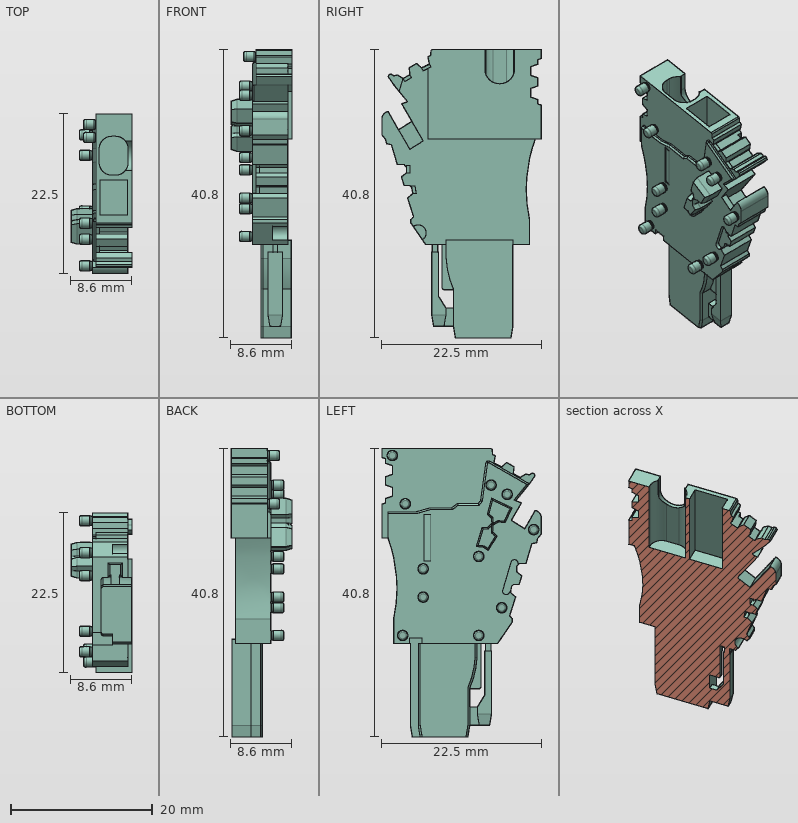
import cadquery as cq
import math


lower_face = 0.0
upper_face = 0.5
housing_back = 5.0
flange_back = 5.6

housing_top = 27.55
flange_bottom = 14.9
flange_front = -16.04
edge_bevel = 0.25

rear_tooth_depth = 0.5
rear_groove_depth = 1.5
rear_groove_half_mouth = 1.05
rear_groove_half_floor = 0.6
rear_groove_heights = (24.5, 21.43)
rear_recess_top = 26.1
rear_recess_bottom = 19.85
rear_recess_bevel = 0.15

wire_hole_x = (0.95, 5.05)
wire_hole_y = (-8.65, -3.15)
wire_hole_round = 1.8
wire_hole_depth = 12.0
side_gap_y = (-8.0, -3.8)
side_gap_straight_depth = 2.75
gap_overlap = 0.3
test_hole_x = (1.1, 4.95)
test_hole_y = (-14.3, -9.35)
test_hole_depth = 12.0

capsule_top = (-18.72, 11.35)
capsule_bottom = (-17.56, 7.4)
capsule_radius = 0.5
ramp_slot_y = (-6.9, -5.96)
ramp_slot_z = (11.65, 18.2)
ramp_slot_depth = 0.2
latch_lip = 0.85
latch_undercut = 3.2
groove_lip = 1.0
groove_undercut = 0.5
rear_notch_y = (-5.65, -3.9)
rear_notch_height = 0.77
latch_scoop_x = 2.8
latch_scoop_center = (-17.4, 1.65)
latch_scoop_radius = 1.13

pin_base_radius = 0.64
pin_radius = 0.73
pin_tip_radius = 0.48
pin_neck_length = 0.18
pin_shoulder = 0.38
pin_tip_start = 1.45
pin_length = 1.85
pin_tip_round = (-1.74, 0.66)
lower_pins = [
    (-15.43, 22.37),
    (-17.7, 21.06),
    (-21.44, 16.09),
    (-13.69, 12.3),
    (-5.84, 10.55),
    (-5.84, 6.56),
    (-16.93, 5.06),
    (-13.69, 1.15),
    (-2.95, 1.15),
]
upper_pins = [(-1.49, 26.55), (-3.32, 19.73)]
upper_pin_base = 0.6

block_height = 3.0
block_taper_height = 0.83
block_taper_inset = 0.2

plug_x = (1.2, 5.5)
plug_rear_face = 2.8
plug_bevel = 0.28
plug_rear = -4.03
plug_front = -12.43
plug_bottom = -13.2
plug_taper_start = -11.55
plug_taper = 0.27
plug_root = 0.65
plug_throat = -13.45
plug_curve_start = -1.95
plug_curve_middle = (-13.1, -4.3)
plug_curve_end = -6.28
raised_rear = -5.15

contact_x = (2.2, 4.25)
contact_front = -15.5
contact_rear = -14.5
contact_foot_rear = -13.49
contact_top = -1.05
contact_taper_start = -9.94
contact_bottom = -11.55
contact_taper = 0.27
contact_bend = (-7.3, -8.93)
bridge_x = (2.6, 3.8)
neck_x = (2.9, 3.55)
neck_y = (-15.45, -14.61)
stop_front = -14.04
stop_bottom = -6.4
stop_bevel = 0.25


def side_plate(points, x_start, x_end):
    """Extrude a closed Y-Z outline along X."""
    plate = cq.Workplane("YZ").workplane(offset=x_start).polyline(points).close()
    return plate.extrude(x_end - x_start)


def box_between(x_range, y_range, z_range):
    size = [high - low for low, high in (x_range, y_range, z_range)]
    corner = (x_range[0], y_range[0], z_range[0])
    return cq.Workplane("XY").box(*size, centered=False).translate(corner)


def make_upper_housing():
    outline = [
        (0, flange_bottom),
        (0, rear_recess_bottom - rear_recess_bevel),
        (-rear_tooth_depth, rear_recess_bottom),
        (-rear_tooth_depth, rear_recess_top),
        (0, rear_recess_top + rear_recess_bevel),
        (0, housing_top),
        (-15.4, housing_top),
        (-15.6, 27.42),
        (-15.66, 26.7),
        (-16.04, 26.51),
        (-15.84, 25.5),
        (flange_front, 25.4),
        (flange_front, flange_bottom),
    ]
    body = side_plate(outline, upper_face, flange_back)
    for height in rear_groove_heights:
        groove = [
            (0, height - rear_groove_half_mouth),
            (-rear_tooth_depth, height - rear_groove_half_mouth + 0.1),
            (-rear_groove_depth, height - rear_groove_half_floor),
            (-rear_groove_depth, height + rear_groove_half_floor),
            (-rear_tooth_depth, height + rear_groove_half_mouth - 0.1),
            (0, height + rear_groove_half_mouth),
        ]
        body = body.cut(side_plate(groove, upper_face, flange_back))
    shoulder = [(-15.84, 25.5), (-16.93, 24.96), (-19.53, 23.45), (-18.92, 20.17), (-15.84, 20.17)]
    rib = [(-16.7, 24.7), (-16.93, 24.96), (-17.63, 25.58), (-18.69, 24.96), (-18.56, 23.8)]
    lip = [
        (-18.92, 20.17),
        (-19.53, 23.45),
        (-20.33, 23.96),
        (-20.85, 23.83),
        (-21.25, 24.1),
        (-21.5, 24.0),
        (-21.65, 23.7),
        lip_root,
    ]
    lip_end = [(-19.53, 23.45)] + lip[2:] + [(-20.1, 21.62)]
    body = body.union(side_plate(shoulder, upper_face, housing_back))
    body = body.union(side_plate(rib, upper_face, housing_back))
    body = body.union(side_plate(lip, upper_face, housing_back))
    return body.union(side_plate(lip_end, housing_back, flange_back))


lip_root = (-20.85, 22.54)
parting_line = [
    (-0.86, 18.6),
    (-4.86, 18.6),
    (-6.81, 19.16),
    (-9.89, 19.16),
    (-10.68, 19.77),
    (-13.6, 19.77),
    (-13.95, 20.2),
    (-14.68, 25.5),
    (-14.85, 25.77),
    (-15.2, 25.77),
    lip_root,
    (-18.92, 20.17),
]


shoulder_inward = (0.486, -0.874)
rearward = (1, 0)
grooves = [
    ((-15.84, 25.52), (-16.93, 24.96), shoulder_inward, flange_back),
    ((-18.6, 24.0), (-19.53, 23.45), shoulder_inward, housing_back),
    ((-19.07, 10.12), (-19.07, 11.2), rearward, housing_back),
    ((-18.17, 7.21), (-18.35, 8.3), rearward, housing_back),
]
latch_slot = [(-19.74, 19.88), (-18.3, 17.4), (-20.18, 16.22), (-21.65, 18.82)]


def make_lower_housing():
    body = cq.Workplane("YZ").polyline(parting_line)
    for point in latch_slot:
        body = body.lineTo(*point)
    body = body.threePointArc((-22.3, 18.4), (-22.54, 17.7))
    lower_front = [
        (-22.54, 15.5),
        (-22.01, 14.83),
        (-21.87, 14.23),
        (-21.19, 14.09),
        (-20.36, 11.29),
        (-19.4, 11.29),
        (-19.07, 10.91),
        (-19.07, 10.12),
        (-19.78, 9.57),
        (-19.4, 8.33),
        (-18.6, 8.33),
        (-18.35, 8.1),
        (-18.17, 7.21),
        (-18.91, 6.58),
        (-18.06, 3.92),
        (-18.45, 3.51),
        (-18.45, 3.07),
        (-16.35, 0),
        (-1.66, 0),
        (-1.66, 3.49),
    ]
    for point in lower_front:
        body = body.lineTo(*point)
    body = body.spline([(-2.13, 8.4), (-0.86, flange_bottom)], includeCurrent=True).close()
    body = body.extrude(housing_back)
    chain = list(zip(parting_line, parting_line[1:]))
    middles = [((a[0] + b[0]) / 2, (a[1] + b[1]) / 2) for a, b in chain]

    def on_parting_line(edge):
        center = edge.Center()
        if abs(center.x) > 0.001:
            return False
        return any(math.hypot(center.y - y, center.z - z) < 0.01 for y, z in middles)

    beveled = [edge for edge in body.edges().vals() if on_parting_line(edge)]
    return body.newObject(beveled).chamfer(edge_bevel)


def cut_top_openings(body):
    hole_floor = housing_top - wire_hole_depth
    wire_hole = box_between(wire_hole_x, wire_hole_y, (hole_floor, housing_top))
    wire_hole = wire_hole.edges("|Z").fillet(wire_hole_round)
    test_hole = box_between(test_hole_x, test_hole_y, (housing_top - test_hole_depth, housing_top))
    gap_radius = (side_gap_y[1] - side_gap_y[0]) / 2
    gap_middle = (side_gap_y[0] + side_gap_y[1]) / 2
    gap_springing = housing_top - side_gap_straight_depth
    gap = (
        cq.Workplane("YZ", origin=(wire_hole_x[1] - gap_overlap, 0, 0))
        .moveTo(side_gap_y[0], housing_top)
        .lineTo(side_gap_y[0], gap_springing)
        .threePointArc((gap_middle, gap_springing - gap_radius), (side_gap_y[1], gap_springing))
        .lineTo(side_gap_y[1], housing_top)
        .close()
        .extrude(flange_back - wire_hole_x[1] + gap_overlap)
    )
    return body.cut(wire_hole).cut(test_hole).cut(gap)


def cut_front_recess(body):
    dy = capsule_bottom[0] - capsule_top[0]
    dz = capsule_bottom[1] - capsule_top[1]
    length = math.hypot(dy, dz)
    angle = math.degrees(math.atan2(dz, dy))
    middle = ((capsule_top[0] + capsule_bottom[0]) / 2, (capsule_top[1] + capsule_bottom[1]) / 2)
    capsule = (
        cq.Workplane("YZ")
        .center(*middle)
        .slot2D(length + 2 * capsule_radius, 2 * capsule_radius, angle)
        .extrude(upper_face)
    )
    tooth_side = side_plate([capsule_top, (-20.4, 11.2), (-19.2, 6.9), capsule_bottom], lower_face, upper_face)
    return body.cut(capsule).cut(tooth_side)


def cut_ramp_slot(body):
    ramp = (
        cq.Workplane("XY", origin=(0, 0, ramp_slot_z[0]))
        .moveTo(lower_face, ramp_slot_y[0])
        .lineTo(lower_face, ramp_slot_y[1])
        .lineTo(ramp_slot_depth, ramp_slot_y[1])
        .close()
        .extrude(ramp_slot_z[1] - ramp_slot_z[0])
    )
    return body.cut(ramp)


def undercut(floor_start, floor_end, direction, depth, x_start, x_end):
    """A pocket that sinks a groove floor by the given depth along a Y-Z direction."""
    length = math.hypot(*direction)
    dy, dz = (depth * part / length for part in direction)
    outline = [
        floor_start,
        (floor_start[0] + dy, floor_start[1] + dz),
        (floor_end[0] + dy, floor_end[1] + dz),
        floor_end,
    ]
    return side_plate(outline, x_start, x_end)


def cut_groove_undercuts(body):
    """Deepen the front slot and grooves behind the thin lips left next to the lower face."""
    mouth, inner, outer = latch_slot[:3]
    slot_direction = (inner[0] - mouth[0], inner[1] - mouth[1])
    body = body.cut(undercut(inner, outer, slot_direction, latch_undercut, latch_lip, housing_back))
    for start, end, direction, x_end in grooves:
        body = body.cut(undercut(start, end, direction, groove_undercut, groove_lip, x_end))
    return body


def cut_bottom_recesses(body):
    notch = box_between((lower_face, plug_rear_face), rear_notch_y, (0, rear_notch_height))
    scoop = (
        cq.Workplane("YZ", origin=(latch_scoop_x, *latch_scoop_center))
        .circle(latch_scoop_radius)
        .extrude(housing_back - latch_scoop_x)
    )
    return body.cut(notch).cut(scoop)


def make_pin(base_x, position):
    profile = (
        cq.Workplane("XY")
        .lineTo(0, pin_base_radius)
        .lineTo(-pin_neck_length, pin_base_radius)
        .lineTo(-pin_shoulder, pin_radius)
        .lineTo(-pin_tip_start, pin_radius)
        .threePointArc(pin_tip_round, (-pin_length, pin_tip_radius))
        .lineTo(-pin_length, 0)
        .close()
    )
    pin = profile.revolve(360, (0, 0, 0), (1, 0, 0))
    return pin.translate((base_x, *position))


def make_block():
    outline = [
        (-15.5, 20.53),
        (-18.39, 19.15),
        (-17.42, 17.1),
        (-16.45, 17.15),
        (-15.71, 16.74),
        (-15.66, 15.77),
        (-16.27, 15.17),
        (-15.02, 13.14),
        (-14.36, 13.6),
        (-13.35, 13.71),
        (-14.16, 16.39),
        (-14.95, 16.39),
        (-15.54, 17.0),
        (-15.48, 17.71),
        (-14.9, 18.23),
    ]
    shoulder = block_height - block_taper_height
    base = side_plate(outline, -shoulder, lower_face)
    taper = math.degrees(math.atan2(block_taper_inset, block_taper_height))
    tip = cq.Workplane("YZ").workplane(offset=-shoulder).polyline(outline).close()
    return base.union(tip.extrude(-block_taper_height, taper=taper))


def plug_slab(rear, root, x_start, x_end):
    """One slab of the plug, from its rear edge to its curved front edge."""
    return (
        cq.Workplane("YZ")
        .workplane(offset=x_start)
        .moveTo(rear, root)
        .lineTo(rear, plug_taper_start)
        .lineTo(rear - plug_taper, plug_bottom)
        .lineTo(plug_front + plug_taper, plug_bottom)
        .lineTo(plug_front, plug_taper_start)
        .lineTo(plug_front, plug_curve_end)
        .threePointArc(plug_curve_middle, (plug_throat, plug_curve_start))
        .lineTo(plug_throat, root)
        .close()
        .extrude(x_end - x_start)
    )


def make_plug():
    raised = plug_slab(raised_rear, 0, plug_x[0], plug_rear_face)
    side_edges = raised.faces("<X").edges("not |Y")
    raised = raised.newObject(side_edges.vals()).chamfer(plug_bevel)
    return raised.union(plug_slab(plug_rear, plug_root, plug_rear_face, plug_x[1]))


def make_contact():
    outline = [
        (contact_front, contact_top),
        (contact_front, contact_taper_start),
        (contact_foot_rear, contact_taper_start),
        (contact_foot_rear, contact_bend[1]),
        (contact_rear, contact_bend[0]),
        (contact_rear, contact_top),
    ]
    contact = side_plate(outline, *contact_x)
    foot_height = contact_taper_start - contact_bottom
    foot_taper = math.degrees(math.atan2(contact_taper, foot_height))
    foot = (
        cq.Workplane("XY", origin=(contact_x[0], contact_front, contact_taper_start))
        .rect(contact_x[1] - contact_x[0], contact_foot_rear - contact_front, centered=False)
        .extrude(-foot_height, taper=foot_taper)
    )
    bridge_y = (contact_foot_rear - contact_taper, plug_front)
    bridge = box_between(bridge_x, bridge_y, (contact_bottom, contact_bend[1]))
    neck = box_between(neck_x, neck_y, (contact_top, plug_root))
    stop = [
        (plug_front, 0),
        (stop_front, 0),
        (stop_front, stop_bottom + stop_bevel),
        (stop_front + stop_bevel, stop_bottom),
        (plug_front, stop_bottom),
    ]
    stop_block = side_plate(stop, *neck_x)
    return contact.union(foot).union(bridge).union(neck).union(stop_block)


housing = make_upper_housing().union(make_lower_housing())
housing = cut_top_openings(housing)
housing = cut_front_recess(housing)
housing = cut_ramp_slot(housing)
housing = cut_groove_undercuts(housing)
housing = cut_bottom_recesses(housing)
result = housing.union(make_block()).union(make_plug()).union(make_contact())
for position in lower_pins:
    result = result.union(make_pin(lower_face, position))
for position in upper_pins:
    result = result.union(make_pin(upper_pin_base, position))